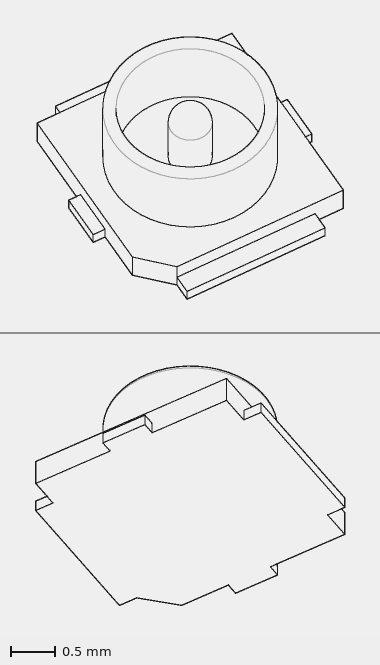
import cadquery as cq
import math

base_side = 2.54
base_height = 0.35
corner_cut = 0.37

tab_height = 0.15
side_tab_span = 3.0
side_tab_width = 1.8
end_tab_span = 2.85
end_tab_width = 0.56

total_height = 1.34
shell_outer_diameter = 1.98
shell_inner_diameter = 1.68
pin_diameter = 0.5
pin_top = 1.25


def make_base():
    """Square plate with the +X, -Y corner cut at 45 degrees."""
    plate = cq.Workplane("XY").rect(base_side, base_side).extrude(base_height)
    return plate.edges("|Z and >X and <Y").chamfer(corner_cut)


def make_tab_pair(size_x, size_y):
    """Bar through the base whose two ends stick out as tabs."""
    return cq.Workplane("XY").rect(size_x, size_y).extrude(tab_height)


def make_shell():
    """Thin-walled tube standing on the base, with a fully rounded rim."""
    inner_radius = shell_inner_diameter / 2
    outer_radius = shell_outer_diameter / 2
    rim_radius = (outer_radius - inner_radius) / 2
    rim_start = total_height - rim_radius
    return (
        cq.Workplane("XZ")
        .moveTo(inner_radius, base_height)
        .lineTo(outer_radius, base_height)
        .lineTo(outer_radius, rim_start)
        .threePointArc((inner_radius + rim_radius, total_height), (inner_radius, rim_start))
        .close()
        .revolve(360, (0, 0, 0), (0, 1, 0))
    )


def make_pin():
    """Centre pin with a hemispherical tip, revolved about Z."""
    radius = pin_diameter / 2
    tip_start = pin_top - radius
    arc_offset = radius * math.sin(math.radians(45))
    return (
        cq.Workplane("XZ")
        .moveTo(0, base_height)
        .lineTo(radius, base_height)
        .lineTo(radius, tip_start)
        .threePointArc((arc_offset, tip_start + arc_offset), (0, pin_top))
        .close()
        .revolve(360, (0, 0, 0), (0, 1, 0))
    )


result = (
    make_base()
    .union(make_tab_pair(side_tab_span, side_tab_width))
    .union(make_tab_pair(end_tab_width, end_tab_span))
    .union(make_shell())
    .union(make_pin())
)